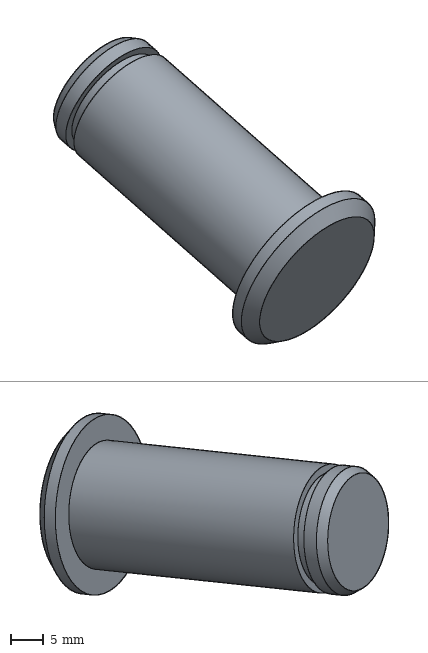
import cadquery as cq
import math

total_length = 50.0

shank_radius = 20.0 / 2
tip_chamfer_length = 1.5
tip_chamfer_angle = 30.0
tip_radius = shank_radius - tip_chamfer_length * math.tan(math.radians(tip_chamfer_angle))

groove_radius = 17.5 / 2
groove_start = 3.75
groove_width = 1.85
groove_end = groove_start + groove_width

head_radius = 28.0 / 2
head_thickness = 4.0
head_chamfer = head_thickness / 2
head_start = total_length - head_thickness

half_section = [
    (0, 0),
    (0, tip_radius),
    (tip_chamfer_length, shank_radius),
    (groove_start, shank_radius),
    (groove_start, groove_radius),
    (groove_end, groove_radius),
    (groove_end, shank_radius),
    (head_start, shank_radius),
    (head_start, head_radius),
    (total_length - head_chamfer, head_radius),
    (total_length, head_radius - head_chamfer),
    (total_length, 0),
]

result = (
    cq.Workplane("XY")
    .polyline(half_section)
    .close()
    .revolve(360, (0, 0, 0), (1, 0, 0))
)